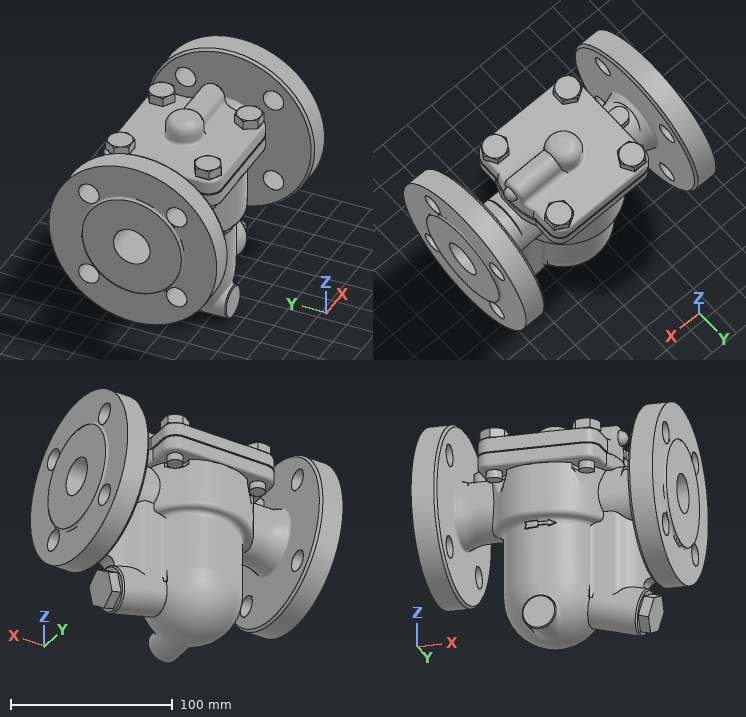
import cadquery as cq
import math

FACE_TO_FACE = 160.0
FLANGE_DIA = 115.0
FLANGE_THICKNESS = 18.0
FLANGE_CHAMFER = 1.6
RAISED_FACE_DIA = 68.0
RAISED_FACE_HEIGHT = 1.6
BORE_DIA = 25.0
BORE_DEPTH = 40.0
BOLT_HOLE_DIA = 14.0
BOLT_CIRCLE_DIA = 85.0
BOLT_HOLES = 4
BOLT_HOLE_START = 45.0
PIPE_RADIUS = 18.7
FLARE_START = 48.7
FLARE_END = 59.0
FLARE_RADIUS = 21.0
NECK_RIM_RADIUS = 23.0
FLANGE_BACK = FACE_TO_FACE / 2 - FLANGE_THICKNESS

CROWN_RADIUS = 17.0
CROWN_TOP = 20.6
CROWN_END = 44.8

BODY_X = -3.0
UPPER_RADIUS = 38.7
LOWER_RADIUS = 32.0
STEP_BLEND = (UPPER_RADIUS - LOWER_RADIUS) / 2
STEP_Z = -18.1
OVERALL_HEIGHT = 149.46
BOTTOM_Z = FLANGE_DIA / 2 - OVERALL_HEIGHT
SPHERE_Z = BOTTOM_Z + LOWER_RADIUS

LID_SIDE = 80.0
LID_INLET_REACH = 40.0
LID_OUTLET_REACH = 39.2
LID_CORNER = 9.2
BODY_FLANGE_BOTTOM = 15.9
GASKET_BOTTOM = 25.5
GASKET_THICKNESS = 0.5
GASKET_INSET = 0.5
COVER_BOTTOM = GASKET_BOTTOM + GASKET_THICKNESS
COVER_TOP = 36.0
LID_EDGE_FILLET = 2.3
BODY_LOBE_RADIUS = 43.5
COVER_LOBE_RADIUS = 42.6

LID_BOLT_OFFSET = 30.0
LID_BOLT_DIA = 10.0
LID_BOLT_END = 10.8
HEAD_FLATS = 16.0
HEAD_HEIGHT = 6.4
HEAD_TURN = 30.0
POCKET_RADIUS = 9.0
POCKET_BLEND = 0.8
POCKET_CONE_TOP = 13.5
POCKET_TIP = -5.0

DOME_RADIUS = 12.0
DOME_TOP = 51.2
DOME_FILLET = 8.0
DOME_FOOT_FILLET = 2.0
RIDGE_RADIUS = 8.4
RIDGE_Z = 40.5
RIDGE_END_FILLET = 2.4
RIDGE_FOOT = RIDGE_Z - COVER_TOP
BALL_RADIUS = 5.0
BALL_X = BODY_X + COVER_LOBE_RADIUS

LUG_WIDTH = 12.0
LUG_TIP_X = -55.3
LUG_BOTTOM = 15.0
LUG_TOP = 25.8

BOSS_TILT = 15.0
BOSS_RADIUS = 15.0
BOSS_LENGTH = 61.2
BOSS_CHAMFER = 1.0
PLUG_CORNER_RADIUS = 13.0
PLUG_HEIGHT = 6.9
PLUG_TURN = 5.0

DRAIN_RADIUS = 11.0
DRAIN_Z = -79.8
DRAIN_FACE_Y = -33.3
DRAIN_CHAMFER = 0.7
DRAIN_BLEND = 1.5

WALL_HALF = 14.5
WALL_BEND_START = 37.7
WALL_BEND_RADIUS = 9.0
WALL_BEND_ANGLE = 45.0
WALL_RIB_HALF = 5.5
WALL_FOOT_BLEND = 4.0
NOTCH_X = 61.5
NOTCH_Z = -60.0
NOTCH_RADIUS = 5.0

ARROW_Z = -21.7
ARROW_TAIL_X = -12.7
ARROW_TAIL_END = -4.0
ARROW_HEAD_X = 2.6
ARROW_TIP_X = 7.4
ARROW_NOTCH = 1.0
ARROW_HALF = 2.1
ARROW_SHAFT_HALF = 1.0
ARROW_RELIEF = 1.2

DIAGONAL = math.sqrt(0.5)


def disc(radius, bottom, top, x=BODY_X, y=0.0):
    """Vertical cylinder."""
    return cq.Workplane("XY", origin=(x, y, bottom)).circle(radius).extrude(top - bottom)


def flanged_neck():
    """Outlet-side flange with raised face, flared neck and pipe, revolved about X."""
    face = FACE_TO_FACE / 2
    shoulder = face - RAISED_FACE_HEIGHT
    rim = FLANGE_DIA / 2
    raised = RAISED_FACE_DIA / 2
    arc_radius = ((FLARE_END - FLARE_START) ** 2 + (FLARE_RADIUS - PIPE_RADIUS) ** 2) / (
        2 * (FLARE_RADIUS - PIPE_RADIUS)
    )
    mid_x = (FLARE_START + FLARE_END) / 2
    arc_drop = math.sqrt(arc_radius**2 - (mid_x - FLARE_START) ** 2)
    flare_mid = (mid_x, PIPE_RADIUS + arc_radius - arc_drop)
    flare_run = FLARE_END - FLARE_START
    flare_tangent = (1 - (FLARE_RADIUS - PIPE_RADIUS) / arc_radius, flare_run / arc_radius)
    foot = RAISED_FACE_HEIGHT
    neck = (
        cq.Workplane("XY")
        .moveTo(0, 0)
        .lineTo(0, PIPE_RADIUS)
        .lineTo(FLARE_START, PIPE_RADIUS)
        .threePointArc(flare_mid, (FLARE_END, FLARE_RADIUS))
        .spline([(FLANGE_BACK, NECK_RIM_RADIUS)], tangents=[flare_tangent, (0, 1)], includeCurrent=True)
        .lineTo(FLANGE_BACK, rim - FLANGE_CHAMFER)
        .lineTo(FLANGE_BACK + FLANGE_CHAMFER, rim)
        .lineTo(shoulder, rim)
        .lineTo(shoulder, raised + foot)
        .threePointArc((face - foot * DIAGONAL, raised + foot * (1 - DIAGONAL)), (face, raised))
        .lineTo(face, 0)
        .close()
        .revolve(360, (0, 0, 0), (1, 0, 0))
    )
    holes = (
        cq.Workplane("YZ", origin=(FLANGE_BACK, 0, 0))
        .polarArray(BOLT_CIRCLE_DIA / 2, BOLT_HOLE_START, 360, BOLT_HOLES)
        .circle(BOLT_HOLE_DIA / 2)
        .extrude(FLANGE_THICKNESS)
    )
    return neck.cut(holes)


def pipe_crown():
    """Raised round crown along the pipe, from the inlet flange to beyond the body."""
    return (
        cq.Workplane("YZ", origin=(-FLANGE_BACK, 0, 0))
        .center(0, CROWN_TOP - CROWN_RADIUS)
        .circle(CROWN_RADIUS)
        .extrude(FLANGE_BACK + CROWN_END)
    )


def inlet_lug():
    """Round-ended lug standing on the inlet pipe."""
    end_radius = LUG_WIDTH / 2
    center_x = LUG_TIP_X + end_radius
    length = BODY_X - center_x
    return disc(end_radius, LUG_BOTTOM, LUG_TOP, center_x).union(
        cq.Workplane("XY", origin=(center_x + length / 2, 0, LUG_BOTTOM))
        .rect(length, LUG_WIDTH)
        .extrude(LUG_TOP - LUG_BOTTOM)
    )


def barrel():
    """Stepped body with a hemispherical bottom, revolved about its vertical axis."""
    upper_arc_z = STEP_Z + STEP_BLEND
    lower_arc_z = STEP_Z - STEP_BLEND
    mid_radius = LOWER_RADIUS + STEP_BLEND
    reach = STEP_BLEND * DIAGONAL
    return (
        cq.Workplane("XZ", origin=(BODY_X, 0, 0))
        .moveTo(0, BODY_FLANGE_BOTTOM)
        .lineTo(UPPER_RADIUS, BODY_FLANGE_BOTTOM)
        .lineTo(UPPER_RADIUS, upper_arc_z)
        .threePointArc((mid_radius + reach, upper_arc_z - reach), (mid_radius, STEP_Z))
        .threePointArc((mid_radius - reach, lower_arc_z + reach), (LOWER_RADIUS, lower_arc_z))
        .lineTo(LOWER_RADIUS, SPHERE_Z)
        .threePointArc((LOWER_RADIUS * DIAGONAL, SPHERE_Z - LOWER_RADIUS * DIAGONAL), (0, BOTTOM_Z))
        .close()
        .revolve(360, (0, 0, 0), (0, 1, 0))
    )


def lid_plate(bottom, top, lobe_radius, inset=0.0):
    """Nearly square plate with rounded corners and a shallow round lobe on the outlet side."""
    width = LID_SIDE - 2 * inset
    outlet_reach = LID_OUTLET_REACH - inset
    length = LID_INLET_REACH - inset + outlet_reach
    thickness = top - bottom
    plate = (
        cq.Workplane("XY", origin=(BODY_X + outlet_reach - length / 2, 0, bottom))
        .rect(length, width)
        .extrude(thickness)
        .edges("|Z")
        .fillet(LID_CORNER - inset)
    )
    lobe_half = math.sqrt(lobe_radius**2 - outlet_reach**2)
    lobe = disc(lobe_radius, bottom, top).intersect(
        cq.Workplane("XY", origin=(BODY_X + outlet_reach, 0, bottom))
        .rect(length, 2 * lobe_half)
        .extrude(thickness)
    )
    return plate.union(lobe)


def cover_joint():
    """Body flange, gasket and cover."""
    gasket_top = GASKET_BOTTOM + GASKET_THICKNESS
    body_flange = lid_plate(BODY_FLANGE_BOTTOM, GASKET_BOTTOM, BODY_LOBE_RADIUS)
    body_flange = body_flange.faces("<Z").edges().fillet(LID_EDGE_FILLET)
    gasket = lid_plate(GASKET_BOTTOM, gasket_top, COVER_LOBE_RADIUS, GASKET_INSET)
    cover = lid_plate(COVER_BOTTOM, COVER_TOP, COVER_LOBE_RADIUS)
    cover = cover.faces(">Z").edges().fillet(LID_EDGE_FILLET)
    return body_flange.union(gasket).union(cover)


def cover_dome():
    """Round dome on the cover with a concave foot."""
    foot = DOME_FOOT_FILLET
    foot_mid = (DOME_RADIUS + foot * (1 - DIAGONAL), COVER_TOP + foot * (1 - DIAGONAL))
    shoulder = DOME_TOP - DOME_FILLET
    flat = DOME_RADIUS - DOME_FILLET
    top_mid = (flat + DOME_FILLET * DIAGONAL, shoulder + DOME_FILLET * DIAGONAL)
    return (
        cq.Workplane("XZ", origin=(BODY_X, 0, 0))
        .moveTo(0, COVER_BOTTOM)
        .lineTo(DOME_RADIUS + foot, COVER_BOTTOM)
        .lineTo(DOME_RADIUS + foot, COVER_TOP)
        .threePointArc(foot_mid, (DOME_RADIUS, COVER_TOP + foot))
        .lineTo(DOME_RADIUS, shoulder)
        .threePointArc(top_mid, (flat, DOME_TOP))
        .lineTo(0, DOME_TOP)
        .close()
        .revolve(360, (0, 0, 0), (0, 1, 0))
    )


def cover_ridge():
    """Half-round ridge with flared feet, ending on the round lobe of the cover."""
    foot_y = RIDGE_RADIUS + RIDGE_FOOT
    near = RIDGE_RADIUS + RIDGE_FOOT * (1 - DIAGONAL)
    low = COVER_TOP + RIDGE_FOOT * (1 - DIAGONAL)
    ridge = (
        cq.Workplane("YZ", origin=(BODY_X, 0, 0))
        .moveTo(-foot_y, COVER_BOTTOM)
        .lineTo(-foot_y, COVER_TOP)
        .threePointArc((-near, low), (-RIDGE_RADIUS, RIDGE_Z))
        .threePointArc((0, RIDGE_Z + RIDGE_RADIUS), (RIDGE_RADIUS, RIDGE_Z))
        .threePointArc((near, low), (foot_y, COVER_TOP))
        .lineTo(foot_y, COVER_BOTTOM)
        .close()
        .extrude(LID_SIDE)
    )
    ridge = ridge.intersect(disc(COVER_LOBE_RADIUS, COVER_BOTTOM, DOME_TOP))
    ridge = ridge.faces(">X").edges(">Z").fillet(RIDGE_END_FILLET)
    ball = cq.Workplane("XY").sphere(BALL_RADIUS).translate((BALL_X, 0, RIDGE_Z))
    return ridge.union(ball)


def lid_bolts():
    """Yield centre and head rotation of the four cover bolts."""
    for side_x, side_y in ((-1, 1), (1, 1), (-1, -1), (1, -1)):
        turn = HEAD_TURN if side_x == side_y else 0.0
        yield BODY_X + side_x * LID_BOLT_OFFSET, side_y * LID_BOLT_OFFSET, turn


def bolt(x, y, turn):
    """Cover bolt: plain shank and hexagon head with a chamfered crown."""
    corner_dia = HEAD_FLATS / math.cos(math.radians(30))
    head = (
        cq.Workplane("XY")
        .polygon(6, corner_dia)
        .extrude(HEAD_HEIGHT)
        .rotate((0, 0, 0), (0, 0, 1), turn)
    )
    crown_width = (corner_dia - HEAD_FLATS) / 2
    crown = (
        cq.Workplane("XY")
        .circle(corner_dia / 2)
        .extrude(HEAD_HEIGHT)
        .faces(">Z")
        .chamfer(crown_width / 2, crown_width)
    )
    head = head.intersect(crown).translate((x, y, COVER_TOP))
    return head.union(disc(LID_BOLT_DIA / 2, LID_BOLT_END, COVER_TOP, x, y))


def bolt_pocket(x, y):
    """Clearance with a conical end, cut into the body below a bolt."""
    return (
        cq.Workplane("XZ", origin=(x, y, 0))
        .moveTo(0, BODY_FLANGE_BOTTOM)
        .lineTo(POCKET_RADIUS, BODY_FLANGE_BOTTOM)
        .lineTo(POCKET_RADIUS, POCKET_CONE_TOP)
        .lineTo(0, POCKET_TIP)
        .close()
        .revolve(360, (0, 0, 0), (0, 1, 0))
    )


def pocket_rims():
    """Select the curved rims where the bolt pockets break through the body wall."""
    low = cq.selectors.BoxSelector(
        (BODY_X - UPPER_RADIUS, -UPPER_RADIUS, 0),
        (BODY_X + UPPER_RADIUS, UPPER_RADIUS, BODY_FLANGE_BOTTOM - POCKET_BLEND),
    )
    return low - cq.selectors.TypeSelector("LINE") - cq.selectors.TypeSelector("CIRCLE")


def strainer_boss():
    """Inclined boss from the centre of the hemisphere, closed by a hexagon plug."""
    boss = cq.Workplane("YZ").circle(BOSS_RADIUS).extrude(BOSS_LENGTH)
    boss = boss.faces(">X").chamfer(BOSS_CHAMFER)
    plug = (
        cq.Workplane("YZ")
        .polygon(6, 2 * PLUG_CORNER_RADIUS)
        .extrude(PLUG_HEIGHT)
        .rotate((0, 0, 0), (1, 0, 0), 90 - PLUG_TURN)
        .translate((BOSS_LENGTH, 0, 0))
    )
    tilted = boss.union(plug).rotate((0, 0, 0), (0, 1, 0), BOSS_TILT)
    return tilted.translate((BODY_X, 0, SPHERE_Z))


def passage_wall():
    """Upright wall that narrows in an S-curve to a rib at the outlet flange."""
    bend = math.radians(WALL_BEND_ANGLE)
    bend_end_x = WALL_BEND_START + WALL_BEND_RADIUS * math.sin(bend)
    bend_end_y = WALL_HALF - WALL_BEND_RADIUS * (1 - math.cos(bend))
    bend_mid = (
        WALL_BEND_START + WALL_BEND_RADIUS * math.sin(bend / 2),
        WALL_HALF - WALL_BEND_RADIUS * (1 - math.cos(bend / 2)),
    )
    rib_radius = (bend_end_y - WALL_RIB_HALF) / (1 - math.cos(bend))
    rib_start = bend_end_x + rib_radius * math.sin(bend)
    rib_mid = (
        rib_start - rib_radius * math.sin(bend / 2),
        WALL_RIB_HALF + rib_radius * (1 - math.cos(bend / 2)),
    )
    blend_y = WALL_HALF + WALL_FOOT_BLEND
    blend_x = BODY_X + math.sqrt((LOWER_RADIUS + WALL_FOOT_BLEND) ** 2 - blend_y**2)
    touch = LOWER_RADIUS / (LOWER_RADIUS + WALL_FOOT_BLEND)
    touch_point = (BODY_X + (blend_x - BODY_X) * touch, blend_y * touch)
    blend_angle = (math.atan2(touch_point[1] - blend_y, touch_point[0] - blend_x) - math.pi / 2) / 2
    blend_mid = (
        blend_x + WALL_FOOT_BLEND * math.cos(blend_angle),
        blend_y + WALL_FOOT_BLEND * math.sin(blend_angle),
    )
    wall = (
        cq.Workplane("XY")
        .moveTo(BODY_X, 0)
        .lineTo(*touch_point)
        .threePointArc(blend_mid, (blend_x, WALL_HALF))
        .lineTo(WALL_BEND_START, WALL_HALF)
        .threePointArc(bend_mid, (bend_end_x, bend_end_y))
        .threePointArc(rib_mid, (rib_start, WALL_RIB_HALF))
        .lineTo(FLANGE_BACK + FLANGE_CHAMFER, WALL_RIB_HALF)
        .lineTo(FLANGE_BACK + FLANGE_CHAMFER, 0)
        .close()
        .extrude(BOTTOM_Z)
    )
    wall = wall.union(wall.mirror("XZ"))
    depth = 2 * LOWER_RADIUS
    below_boss_axis = (
        cq.Workplane("XY")
        .box(2 * FACE_TO_FACE, depth, depth, centered=(True, True, False))
        .translate((0, 0, -depth))
        .rotate((0, 0, 0), (0, 1, 0), BOSS_TILT)
        .translate((BODY_X, 0, SPHERE_Z))
    )
    notch = cq.Workplane("XZ", origin=(NOTCH_X, 0, NOTCH_Z))
    notch = notch.circle(NOTCH_RADIUS).extrude(LOWER_RADIUS, both=True)
    beside_notch = (
        cq.Workplane("XY", origin=(NOTCH_X, 0, NOTCH_Z))
        .rect(2 * NOTCH_RADIUS, depth)
        .extrude(-depth)
    )
    return wall.cut(below_boss_axis).cut(notch).cut(beside_notch)


def add_drain_boss(body):
    """Join a round boss to the front of the hemisphere with a blended root."""
    boss = (
        cq.Workplane("XZ", origin=(BODY_X, 0, DRAIN_Z))
        .circle(DRAIN_RADIUS)
        .extrude(-DRAIN_FACE_Y)
        .faces("<Y")
        .chamfer(DRAIN_CHAMFER)
    )
    root = cq.selectors.BoxSelector(
        (BODY_X - LOWER_RADIUS, DRAIN_FACE_Y + 2 * DRAIN_CHAMFER, BOTTOM_Z),
        (BODY_X + LOWER_RADIUS, 0, DRAIN_Z + DRAIN_RADIUS),
    )
    joined = body.union(boss)
    return joined.edges(root).edges("not %LINE").fillet(DRAIN_BLEND)


def flow_arrow():
    """Raised arrow that follows the front of the lower barrel."""
    upper = [
        (ARROW_TAIL_X, ARROW_HALF),
        (ARROW_TAIL_END, ARROW_HALF),
        (ARROW_TAIL_END, ARROW_SHAFT_HALF),
        (ARROW_HEAD_X, ARROW_SHAFT_HALF),
        (ARROW_HEAD_X, ARROW_HALF),
    ]
    lower = [(x, -z) for x, z in reversed(upper)]
    outline = upper + [(ARROW_TIP_X, 0)] + lower + [(ARROW_TAIL_X + ARROW_NOTCH, 0)]
    arrow = cq.Workplane("XZ", origin=(0, 0, ARROW_Z)).polyline(outline).close().extrude(UPPER_RADIUS)
    band = disc(LOWER_RADIUS + ARROW_RELIEF, ARROW_Z - ARROW_HALF, ARROW_Z + ARROW_HALF)
    return arrow.intersect(band)


def bore(direction):
    """Blind pipe bore from one flange face."""
    start = cq.Workplane("YZ", origin=(direction * FACE_TO_FACE / 2, 0, 0))
    return start.circle(BORE_DIA / 2).extrude(-direction * BORE_DEPTH)


body = add_drain_boss(barrel())
for bolt_x, bolt_y, _ in lid_bolts():
    body = body.cut(bolt_pocket(bolt_x, bolt_y))
body = body.edges(pocket_rims()).fillet(POCKET_BLEND)

outlet = flanged_neck()
result = body.union(outlet).union(outlet.mirror("YZ"))
for feature in (
    pipe_crown(),
    inlet_lug(),
    passage_wall(),
    strainer_boss(),
    flow_arrow(),
    cover_joint(),
    cover_dome(),
    cover_ridge(),
):
    result = result.union(feature)
for bolt_x, bolt_y, head_turn in lid_bolts():
    result = result.union(bolt(bolt_x, bolt_y, head_turn))
for end in (1, -1):
    result = result.cut(bore(end))